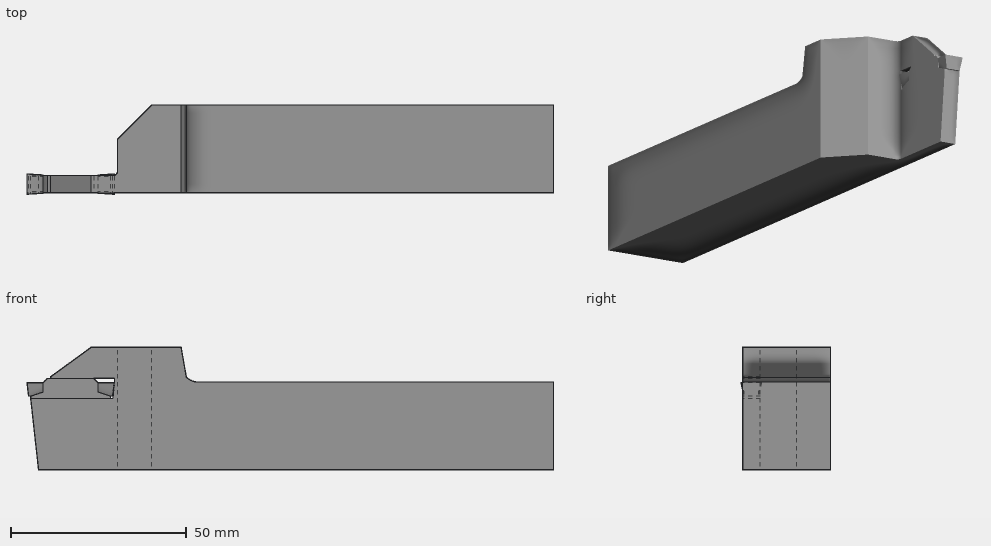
import cadquery as cq

LENGTH = 150.0
SHANK_SIDE = 25.0
HEAD_HEIGHT = 35.0
HEAD_FRONT_X = 25.8
HEAD_CHAMFER = 9.8
HEAD_TOP_BACK_X = 44.0
HEAD_BACK_FOOT_X = 45.5
BLEND_RISE = 1.4
BLEND_RUN = 3.5

BLADE_THICKNESS = 5.0
BLADE_ROOT_FILLET = 1.2
BLADE_TOE_X = 3.3
BLADE_LIP_X = 1.0
JAW_NOSE_X = 6.8
JAW_NOSE_Z = 26.5
JAW_TOP_X = 18.3

INSERT_LENGTH = 24.9
INSERT_BOTTOM_Z = 20.4
EDGE_Z = 24.9
INSERT_TOP_Z = 26.1
PAD_LENGTH = 4.6
PAD_BOTTOM_Z = 21.0
SHOULDER_Z = 22.2
RAMP_LENGTH = 1.2
END_RELIEF = 0.5
EDGE_OVERHANG = 0.5
PAD_ROOT_OVERHANG = 0.2
PAD_SIDE_DRAFT = 0.8


def make_holder():
    """Shank, raised head and thin blade, with an open seat for the insert."""
    blend_radius = (BLEND_RUN**2 + BLEND_RISE**2) / (2 * BLEND_RISE)
    body = (
        cq.Workplane("XZ")
        .moveTo(BLADE_TOE_X, 0)
        .lineTo(LENGTH, 0)
        .lineTo(LENGTH, SHANK_SIDE)
        .lineTo(HEAD_BACK_FOOT_X + BLEND_RUN, SHANK_SIDE)
        .radiusArc((HEAD_BACK_FOOT_X, SHANK_SIDE + BLEND_RISE), blend_radius)
        .lineTo(HEAD_TOP_BACK_X, HEAD_HEIGHT)
        .lineTo(JAW_TOP_X, HEAD_HEIGHT)
        .lineTo(JAW_NOSE_X, JAW_NOSE_Z)
        .lineTo(JAW_NOSE_X, INSERT_BOTTOM_Z)
        .lineTo(BLADE_LIP_X, INSERT_BOTTOM_Z)
        .close()
        .extrude(-SHANK_SIDE)
    )

    plan = (
        cq.Workplane("XY")
        .moveTo(0, 0)
        .lineTo(LENGTH, 0)
        .lineTo(LENGTH, SHANK_SIDE)
        .lineTo(HEAD_FRONT_X + HEAD_CHAMFER, SHANK_SIDE)
        .lineTo(HEAD_FRONT_X, SHANK_SIDE - HEAD_CHAMFER)
        .lineTo(HEAD_FRONT_X, BLADE_THICKNESS + BLADE_ROOT_FILLET)
        .radiusArc((HEAD_FRONT_X - BLADE_ROOT_FILLET, BLADE_THICKNESS), BLADE_ROOT_FILLET)
        .lineTo(0, BLADE_THICKNESS)
        .close()
        .extrude(HEAD_HEIGHT)
    )
    return body.intersect(plan).cut(make_seat())


def make_seat():
    """Slot through the blade, closed at the back against the insert's end face."""
    seat_width = BLADE_THICKNESS + BLADE_ROOT_FILLET
    return (
        cq.Workplane("XZ", origin=(0, -EDGE_OVERHANG, 0))
        .polyline([
            (0, INSERT_BOTTOM_Z),
            (INSERT_LENGTH - END_RELIEF, INSERT_BOTTOM_Z),
            (INSERT_LENGTH, EDGE_Z),
            (INSERT_LENGTH, INSERT_TOP_Z),
            (0, INSERT_TOP_Z),
        ])
        .close()
        .extrude(-seat_width - EDGE_OVERHANG)
    )


def pad_section(overhang, x_top, x_bottom):
    """Closed wire across the insert, narrower at the bottom than at the top."""
    bottom_overhang = overhang - PAD_SIDE_DRAFT
    return cq.Wire.makePolygon([
        cq.Vector(x_top, -overhang, EDGE_Z),
        cq.Vector(x_top, BLADE_THICKNESS + overhang, EDGE_Z),
        cq.Vector(x_bottom, BLADE_THICKNESS + bottom_overhang, PAD_BOTTOM_Z),
        cq.Vector(x_bottom, -bottom_overhang, PAD_BOTTOM_Z),
    ], close=True)


def make_front_pad():
    """Cutting pad, widest at its edge and tapering back and downward."""
    end_face = pad_section(EDGE_OVERHANG, 0, END_RELIEF)
    root_face = pad_section(PAD_ROOT_OVERHANG, PAD_LENGTH, PAD_LENGTH)
    return cq.Workplane(cq.Solid.makeLoft([end_face, root_face], True))


def make_insert():
    """Double-ended insert: a raised middle bar with a cutting pad at each end."""
    ramp_top_x = PAD_LENGTH + RAMP_LENGTH
    bar = (
        cq.Workplane("XZ")
        .polyline([
            (BLADE_LIP_X, INSERT_BOTTOM_Z),
            (INSERT_LENGTH - BLADE_LIP_X, INSERT_BOTTOM_Z),
            (INSERT_LENGTH - BLADE_LIP_X, PAD_BOTTOM_Z),
            (INSERT_LENGTH - PAD_LENGTH, SHOULDER_Z),
            (INSERT_LENGTH - PAD_LENGTH, EDGE_Z),
            (INSERT_LENGTH - ramp_top_x, INSERT_TOP_Z),
            (ramp_top_x, INSERT_TOP_Z),
            (PAD_LENGTH, EDGE_Z),
            (PAD_LENGTH, SHOULDER_Z),
            (BLADE_LIP_X, PAD_BOTTOM_Z),
        ])
        .close()
        .extrude(-BLADE_THICKNESS)
    )
    front_pad = make_front_pad()
    back_pad = front_pad.mirror("YZ", (INSERT_LENGTH / 2, 0, 0))
    return bar.union(front_pad).union(back_pad)


holder = make_holder()
insert = make_insert()
result = cq.Compound.makeCompound([holder.solids().val(), insert.solids().val()])